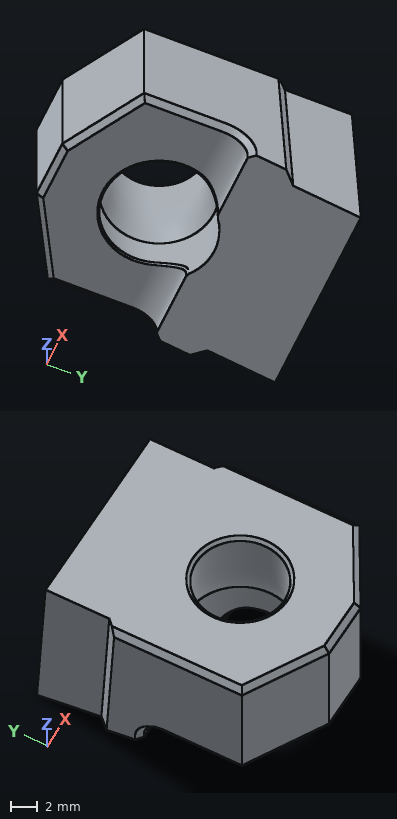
import cadquery as cq
import math

front_distance = 9.0
half_width = 9.0
overall_length = 22.0
body_height = 10.0
flank_angle = math.radians(30)
edge_chamfer = 0.5

heel_depth = 4.0
tail_half_width = 8.0
shoulder_length = 5.5
lean = math.tan(math.radians(3))
heel_slope = math.tan(math.radians(10))
heel_wall_y = 3.5
heel_fillet = 2.0

bore_radius = 3.75
bore_chamfer = 0.3
lower_bore_radius = 4.5
lower_bore_chamfer = 0.15
flare_top = 6.6
flare_radius = 10.0

back_bottom_y = overall_length - front_distance
total_height = body_height + heel_depth
lean_run = lean * total_height
back_top_y = back_bottom_y - lean_run
heel_wall_bottom = -heel_depth + (back_bottom_y - heel_wall_y) * heel_slope

tolerance = 0.01


def side_profile_body():
    """Side outline with the sloped heel, extruded across the full width."""
    corner = heel_fillet * (1 - math.sqrt(0.5))
    return (
        cq.Workplane("YZ")
        .moveTo(-front_distance, 0)
        .lineTo(heel_wall_y - heel_fillet, 0)
        .threePointArc((heel_wall_y - corner, -corner), (heel_wall_y, -heel_fillet))
        .lineTo(heel_wall_y, heel_wall_bottom)
        .lineTo(back_bottom_y, -heel_depth)
        .lineTo(back_top_y, body_height)
        .lineTo(-front_distance, body_height)
        .close()
        .extrude(half_width, both=True)
    )


def front_outline():
    """Vertical prism whose flanks and front face touch a circle about the hole axis."""
    front_half = front_distance * (1 - math.cos(flank_angle)) / math.sin(flank_angle)
    flank_end_y = -front_distance + (half_width - front_half) * math.tan(flank_angle)
    return (
        cq.Workplane("XY", origin=(0, 0, -heel_depth))
        .polyline([
            (-front_half, -front_distance),
            (front_half, -front_distance),
            (half_width, flank_end_y),
            (half_width, back_bottom_y),
            (-half_width, back_bottom_y),
            (-half_width, flank_end_y),
        ])
        .close()
        .extrude(total_height)
    )


def shoulder_cut(side):
    """Prism removed beside the tail, leaning with the back face; side is +1 or -1."""
    shoulder_y = back_bottom_y - shoulder_length
    shoulder_step = half_width - tail_half_width
    cut_end_y = back_bottom_y + shoulder_step
    corners = [
        (tail_half_width, shoulder_y),
        (half_width + shoulder_step, shoulder_y - 2 * shoulder_step),
        (half_width + shoulder_step, cut_end_y),
        (tail_half_width, cut_end_y),
    ]
    points = [cq.Vector(side * x, y, -heel_depth) for x, y in corners]
    outline = cq.Wire.makePolygon(points, close=True)
    return cq.Solid.extrudeLinear(outline, [], cq.Vector(0, -lean_run, total_height))


def is_outer_edge(edge):
    """True for the top and underside rims at the sides and front, and the heel wall's side edges."""
    middle = edge.positionAt(0.5)
    ends = [edge.startPoint(), edge.endPoint()]
    on_side = abs(middle.x) > half_width - tolerance
    on_level = any(
        all(abs(point.z - level) < tolerance for point in ends) for level in (0, body_height)
    )
    on_front = middle.y < -front_distance / 2
    on_heel_wall = on_side and middle.z < 0 and middle.y < heel_wall_y + tolerance
    return on_heel_wall or (on_level and (on_side or on_front))


def screw_hole():
    """Revolved bore: top chamfer, upper bore, rounded flare and lower bore."""
    flare_width = lower_bore_radius - bore_radius
    flare_angle = math.acos(1 - flare_width / flare_radius)
    flare_middle = flare_angle / 2
    return (
        cq.Workplane("YZ")
        .moveTo(0, -heel_depth)
        .lineTo(lower_bore_radius, -heel_depth)
        .lineTo(lower_bore_radius, flare_top - flare_radius * math.sin(flare_angle))
        .threePointArc(
            (
                bore_radius + flare_radius * (1 - math.cos(flare_middle)),
                flare_top - flare_radius * math.sin(flare_middle),
            ),
            (bore_radius, flare_top),
        )
        .lineTo(bore_radius, body_height - bore_chamfer)
        .lineTo(bore_radius + bore_chamfer, body_height)
        .lineTo(0, body_height)
        .close()
        .revolve(360, (0, 0), (0, 1))
    )


def is_lower_bore_edge(edge):
    """True for the edges where the lower bore meets the underside, fillet and heel wall."""
    middle = edge.positionAt(0.5)
    on_bore = abs(math.hypot(middle.x, middle.y) - lower_bore_radius) < tolerance
    on_wall = middle.y < heel_wall_y + tolerance
    return on_bore and on_wall and middle.z < tolerance


def chamfer_edges(part, is_wanted, size):
    """Chamfer every edge of the part that the given test accepts."""
    wanted = [edge for edge in part.edges().vals() if is_wanted(edge)]
    return part.newObject(wanted).chamfer(size)


body = side_profile_body().intersect(front_outline())
body = chamfer_edges(body, is_outer_edge, edge_chamfer)
for side in (-1, 1):
    body = body.cut(cq.Workplane(shoulder_cut(side)))
body = body.cut(screw_hole())
result = chamfer_edges(body, is_lower_bore_edge, lower_bore_chamfer)